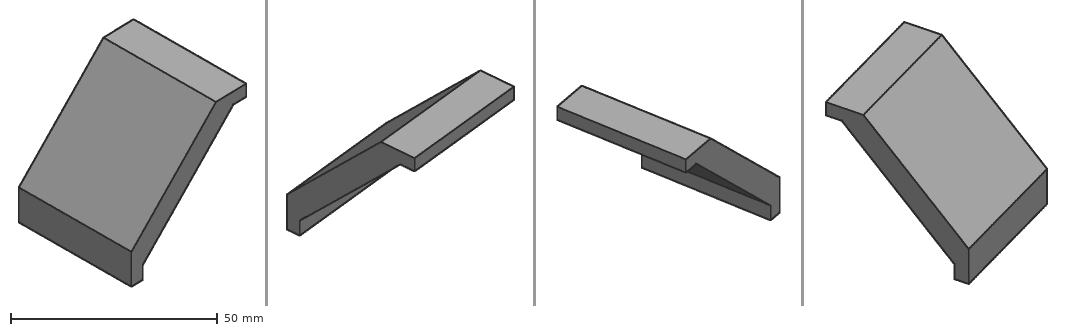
import cadquery as cq

width = 38.0
side = 40.0
flange_thickness = 4.0
outer_flange_length = 10.5
inner_flange_length = 4.5

half_width = width / 2
half_side = side / 2
flange_inside = half_side - flange_thickness
outer_bend = half_side - outer_flange_length
inner_bend = half_side - inner_flange_length

profile = [
    (half_side, half_side),
    (outer_bend, half_side),
    (-half_side, -outer_bend),
    (-half_side, -half_side),
    (-flange_inside, -half_side),
    (-flange_inside, -inner_bend),
    (inner_bend, flange_inside),
    (half_side, flange_inside),
]

result = cq.Workplane("YZ").polyline(profile).close().extrude(half_width, both=True)